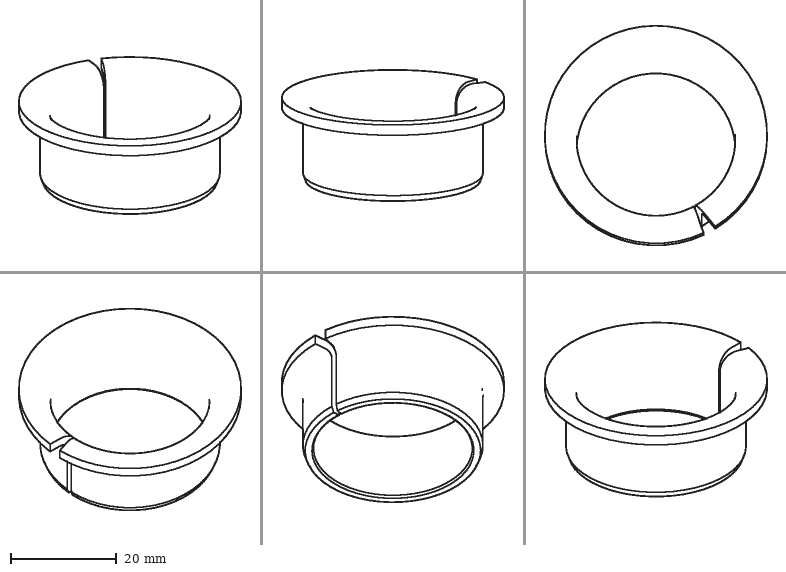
import cadquery as cq
import math

flange_diameter = 42.0
body_diameter = 34.0
wall = 2.0
height = 16.0
neck_radius = 1.5
lead_in_height = 1.2
lead_in_angle = 20.0
bore_chamfer_height = 0.5
bore_chamfer_angle = 30.0
slit_inner_width = 0.38
slit_angle = 20.0

flange_radius = flange_diameter / 2
body_radius = body_diameter / 2
bore_radius = body_radius - wall
flange_bottom = height - wall
mouth_radius = neck_radius + wall
lead_in_width = lead_in_height * math.tan(math.radians(lead_in_angle))
bore_chamfer_width = bore_chamfer_height * math.tan(math.radians(bore_chamfer_angle))


def make_bushing():
    """Revolve the flanged wall section around Z."""
    arc_x = body_radius + neck_radius
    arc_z = flange_bottom - neck_radius
    diagonal = math.sqrt(0.5)
    neck_middle = (arc_x - neck_radius * diagonal, arc_z + neck_radius * diagonal)
    mouth_middle = (arc_x - mouth_radius * diagonal, arc_z + mouth_radius * diagonal)
    return (
        cq.Workplane("XZ")
        .moveTo(bore_radius, bore_chamfer_height)
        .lineTo(bore_radius + bore_chamfer_width, 0)
        .lineTo(body_radius - lead_in_width, 0)
        .lineTo(body_radius, lead_in_height)
        .lineTo(body_radius, arc_z)
        .threePointArc(neck_middle, (arc_x, flange_bottom))
        .lineTo(flange_radius, flange_bottom)
        .lineTo(flange_radius, height)
        .lineTo(arc_x, height)
        .threePointArc(mouth_middle, (bore_radius, arc_z))
        .close()
        .revolve(360, (0, 0), (0, 1))
        .rotate((0, 0, 0), (0, 0, 1), 180)
    )


def make_slit():
    """Wedge on the -X side that widens outward and splits the full height."""
    slope = math.tan(math.radians(slit_angle / 2))
    apex_x = -bore_radius + slit_inner_width / 2 / slope
    outer_x = -flange_diameter
    outer_half_width = (apex_x - outer_x) * slope
    return (
        cq.Workplane("XY")
        .polyline([(apex_x, 0), (outer_x, outer_half_width), (outer_x, -outer_half_width)])
        .close()
        .extrude(height)
    )


result = make_bushing().cut(make_slit())